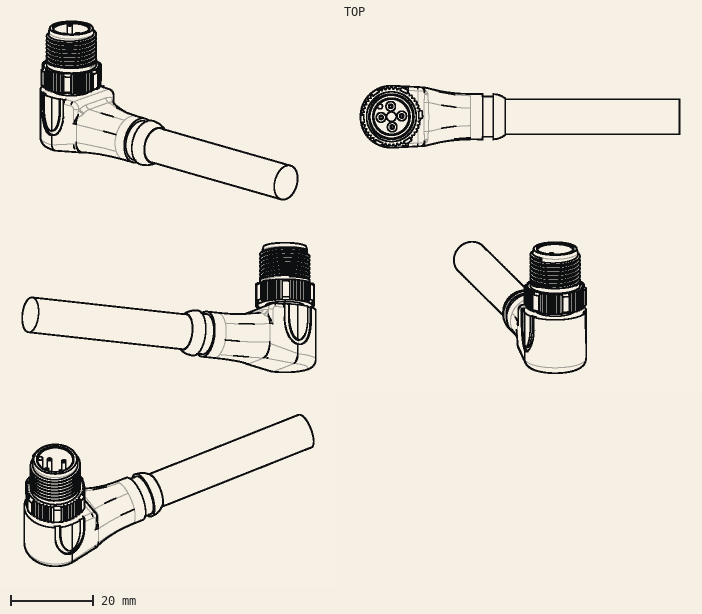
import cadquery as cq
import math


total_length = 77.01
total_height = 29.7

housing_radius = 7.5
housing_top = 14.05
housing_bottom_round = 2.0
flank_start_x = 0.4
flank_start_half_width = 7.49
shoulder_x = 7.9
shoulder_half_width = 7.1
shoulder_bottom = 0.9
shoulder_bottom_round = 3.0
shoulder_end_round = 1.6
shoulder_side_round = 0.9
side_round_start_x = 4.0
shoulder_blend = 1.3

panel_center_x = 0.1
panel_groove_outer = (3.85, 9.7)
panel_groove_inner = (2.6, 8.6)
panel_tip_share = 0.66
panel_groove_depth = 0.5

cable_axis_z = 6.05
cable_diameter = 8.5
barrel_radius = 5.5
sleeve_top = 12.1
sleeve_corner = 3.3
sleeve_waist_x = 12.5
sleeve_waist_roundness = 0.65
barrel_start_x = 19.0
barrel_end_x = 22.0
barrel_groove_radius = 4.88
collar_start_x = 24.5
collar_end_x = 27.5
collar_end_radius = 4.4

neck_radius = 4.6
plug_turn = 4.0
nut_bottom = 15.3
nut_top = 20.3
nut_radius = 7.05
nut_lug_radius = 7.5
nut_lug_width = 1.8
nut_lug_inset = 0.8
nut_lug_count = 6
nut_lug_chamfer_height = 0.55
nut_lug_chamfer_width = 0.85
nut_grooves_per_gap = 5
nut_groove_pitch = 8.0
nut_groove_depth = 0.45
nut_groove_width = 0.6

thread_radius = 6.0
thread_core_radius = 5.45
thread_pitch = 1.0
thread_bottom = 21.0
plain_collar_top = 21.5
thread_top = 28.35
thread_root_width = 0.8
thread_crest_width = 0.12
thread_overlap = 0.1
nose_bottom = 28.8
nose_tip_radius = 5.2

socket_radius = 4.25
socket_chamfer = 0.25
socket_floor = nut_top
pin_count = 4
pin_circle_radius = 2.5
pin_radius = 0.5
pin_top = 27.8
pin_tip_chamfer = 0.15
pin_seat_radius = 1.15
pin_seat_depth = 0.2
key_angle = 138.0
key_position_radius = 3.7
key_radius = 0.6
key_top = 29.2

edge_search = 0.05


def disc(radius, bottom, top):
    """Upright cylinder on the plug axis."""
    return cq.Workplane("XY").workplane(offset=bottom).circle(radius).extrude(top - bottom)


def polar(radius, angle):
    """Point at a radius and an angle in degrees."""
    turn = math.radians(angle)
    return radius * math.cos(turn), radius * math.sin(turn)


def shoulder_section(x, half_width, bottom, corner):
    """Cross section of the housing: square at the top, rounded below."""
    diagonal = corner * (1 - math.sqrt(0.5))
    return (
        cq.Workplane("YZ", origin=(x, 0, 0))
        .moveTo(-half_width, housing_top)
        .lineTo(-half_width, bottom + corner)
        .threePointArc(
            (-half_width + diagonal, bottom + diagonal), (-half_width + corner, bottom)
        )
        .lineTo(half_width - corner, bottom)
        .threePointArc(
            (half_width - diagonal, bottom + diagonal), (half_width, bottom + corner)
        )
        .lineTo(half_width, housing_top)
        .close()
        .val()
    )


def shoulder_space(start_x, bottom):
    """Block covering the cable side of the housing beyond a given X and above a given height."""
    return (
        cq.Workplane("XY", origin=(start_x, 0, bottom))
        .box(2 * housing_radius, 4 * housing_radius, housing_top, centered=(False, True, False))
    )


def make_shoulder():
    """Flat-sided part of the housing; its upper end is rounded where it stands above the sleeve."""
    sections = [
        shoulder_section(flank_start_x, flank_start_half_width, 0, housing_bottom_round),
        shoulder_section(shoulder_x, shoulder_half_width, shoulder_bottom, shoulder_bottom_round),
    ]
    shoulder = cq.Workplane(cq.Solid.makeLoft(sections, True))
    rounded_shoulder = shoulder.faces(">X").edges(">Z").fillet(shoulder_end_round)
    rounded_shoulder = rounded_shoulder.faces(">Z").edges(">Y or <Y").fillet(shoulder_side_round)
    plain_shoulder = shoulder.cut(shoulder_space(side_round_start_x, sleeve_top - sleeve_corner))
    return rounded_shoulder.union(plain_shoulder)


def make_housing():
    """Round housing with a flat-sided shoulder towards the cable."""
    round_part = disc(housing_radius, 0, housing_top).faces("<Z").edges().fillet(housing_bottom_round)
    return round_part.cut(shoulder_space(flank_start_x, 0)).union(make_shoulder())


def sleeve_quarter(half_width, half_height, corner):
    """Points of a rounded rectangle from its right side to its top side, counter-clockwise."""
    corner_y = half_width - corner
    corner_z = half_height - corner
    diagonal = corner * math.sqrt(0.5)
    return [
        (half_width, 0),
        (half_width, corner_z),
        (corner_y + diagonal, corner_z + diagonal),
        (corner_y, half_height),
        (0, half_height),
    ]


def barrel_quarter():
    """The matching points of the barrel circle, split into octants."""
    return [polar(barrel_radius, angle) for angle in (0, 22.5, 45, 67.5, 90)]


def sleeve_section(x, roundness):
    """Eight-edged section between the rounded rectangle (roundness 0) and the barrel circle (1)."""
    half_height = (sleeve_top - shoulder_bottom) / 2
    square_center = shoulder_bottom + half_height
    center_z = square_center + roundness * (cable_axis_z - square_center)
    square_points = sleeve_quarter(shoulder_half_width, half_height, sleeve_corner)
    quarter = [
        (y0 + roundness * (y1 - y0), z0 + roundness * (z1 - z0))
        for (y0, z0), (y1, z1) in zip(square_points, barrel_quarter())
    ]
    right_middle, right_end, corner_middle, top_end, top_middle = quarter

    def mirrored(point, y_sign, z_sign):
        return (y_sign * point[0], z_sign * point[1])

    section = cq.Workplane("YZ", origin=(x, 0, center_z)).moveTo(*mirrored(right_end, 1, -1))
    edges = [
        (right_middle, right_end, 1, 1),
        (corner_middle, top_end, 1, 1),
        (top_middle, top_end, -1, 1),
        (corner_middle, right_end, -1, 1),
        (right_middle, right_end, -1, -1),
        (corner_middle, top_end, -1, -1),
        (top_middle, top_end, 1, -1),
        (corner_middle, right_end, 1, -1),
    ]
    for middle, end, y_sign, z_sign in edges:
        is_flat_side = roundness == 0 and middle is not corner_middle
        if is_flat_side:
            section = section.lineTo(*mirrored(end, y_sign, z_sign))
        else:
            section = section.threePointArc(
                mirrored(middle, y_sign, z_sign), mirrored(end, y_sign, z_sign)
            )
    return section.close()


def make_sleeve():
    """Sleeve that narrows from the flat-sided shoulder to the round barrel."""
    root_x = shoulder_x - shoulder_end_round
    root = sleeve_section(root_x, 0).extrude(shoulder_end_round)
    sections = [
        sleeve_section(shoulder_x, 0).val(),
        sleeve_section(sleeve_waist_x, sleeve_waist_roundness).val(),
        sleeve_section(barrel_start_x, 1).val(),
    ]
    return root.union(cq.Workplane(cq.Solid.makeLoft(sections)))


def make_cable_outlet():
    """Barrel, groove, rounded collar and cable, turned about the cable axis."""
    cable_end_x = total_length - housing_radius
    cable_radius = cable_diameter / 2
    collar_length = collar_end_x - collar_start_x
    collar_drop = barrel_radius - collar_end_radius
    arc_radius = (collar_length**2 + collar_drop**2) / (2 * collar_drop)
    half_turn = math.asin(collar_length / arc_radius) / 2
    collar_middle_x = collar_start_x + arc_radius * math.sin(half_turn)
    collar_middle_radius = barrel_radius - arc_radius * (1 - math.cos(half_turn))
    profile = (
        cq.Workplane("XZ", origin=(0, 0, cable_axis_z))
        .moveTo(barrel_start_x, 0)
        .lineTo(barrel_start_x, barrel_radius)
        .lineTo(barrel_end_x, barrel_radius)
        .lineTo(barrel_end_x, barrel_groove_radius)
        .lineTo(collar_start_x, barrel_groove_radius)
        .lineTo(collar_start_x, barrel_radius)
        .threePointArc((collar_middle_x, collar_middle_radius), (collar_end_x, collar_end_radius))
        .lineTo(collar_end_x, cable_radius)
        .lineTo(cable_end_x, cable_radius)
        .lineTo(cable_end_x, 0)
        .close()
    )
    return profile.revolve(360, (0, 0, 0), (1, 0, 0))


def arch(half_width, height, side):
    """Arch-shaped block hanging from the housing top, reaching out to side +1 or -1."""
    tip_height = height * panel_tip_share
    straight_height = height - tip_height
    plane = cq.Workplane("XZ", origin=(panel_center_x, 0, housing_top - straight_height))
    reach = -side * 2 * housing_radius
    straight_part = (
        plane.center(0, straight_height / 2)
        .rect(2 * half_width, straight_height)
        .extrude(reach)
    )
    tip = plane.ellipse(half_width, tip_height).extrude(reach)
    return tip.union(straight_part)


def make_panel_groove(side):
    """Arch-shaped groove band on one flank, cut down to a round core and its flat flanks."""
    band = arch(*panel_groove_outer, side).cut(arch(*panel_groove_inner, side))
    core = disc(housing_radius - panel_groove_depth, 0, housing_top)
    core_depth = 2 * (housing_radius - panel_groove_depth)
    flat_core = cq.Workplane("XY").box(
        shoulder_x, core_depth, housing_top, centered=(False, True, False)
    )
    return band.cut(core).cut(flat_core)


def make_nut():
    """Coupling nut with six chamfered lugs and a knurled band in the gaps between them."""
    height = nut_top - nut_bottom
    lug_step = 360 / nut_lug_count
    nut = disc(nut_radius, nut_bottom, nut_top)
    knurl_cutter = (
        cq.Workplane("XY", origin=(nut_radius, 0, nut_bottom))
        .polyline([(-nut_groove_depth, 0), (0, nut_groove_width / 2), (0, -nut_groove_width / 2)])
        .close()
        .extrude(height)
    )
    lug_bar = (
        cq.Workplane("XY", origin=(nut_radius, 0, nut_bottom))
        .rect(2 * nut_lug_inset, nut_lug_width)
        .extrude(height)
    )
    lug_envelope = disc(nut_lug_radius, nut_bottom, nut_top)
    lug_envelope = lug_envelope.edges("%CIRCLE").chamfer(nut_lug_chamfer_height, nut_lug_chamfer_width)
    for lug in range(nut_lug_count):
        lug_angle = plug_turn + lug * lug_step
        turned_bar = lug_bar.rotate((0, 0, 0), (0, 0, 1), lug_angle)
        nut = nut.cut(turned_bar).union(turned_bar.intersect(lug_envelope))
        for groove in range(nut_grooves_per_gap):
            offset = groove - (nut_grooves_per_gap - 1) / 2
            angle = lug_angle + lug_step / 2 + offset * nut_groove_pitch
            nut = nut.cut(knurl_cutter.rotate((0, 0, 0), (0, 0, 1), angle))
    return nut


def make_thread():
    """Helical ridge of the M12 external thread, sunk slightly into its core."""
    height = thread_top - thread_bottom
    helix = cq.Wire.makeHelix(thread_pitch, height, thread_core_radius)
    root_radius = thread_core_radius - thread_overlap
    ridge = (
        cq.Workplane("XZ")
        .moveTo(root_radius, -thread_root_width / 2)
        .lineTo(root_radius, thread_root_width / 2)
        .lineTo(thread_radius, thread_crest_width / 2)
        .lineTo(thread_radius, -thread_crest_width / 2)
        .close()
        .sweep(cq.Workplane(helix), isFrenet=True)
    )
    return ridge.translate((0, 0, thread_bottom))


def make_plug():
    """Neck, nut, threaded shell and tapered nose."""
    neck = disc(neck_radius, housing_top, nut_bottom)
    plain_collar = disc(thread_radius, nut_top, plain_collar_top)
    core = disc(thread_core_radius, nut_top, total_height)
    taper_width = thread_core_radius - nose_tip_radius
    core = core.faces(">Z").edges().chamfer(total_height - nose_bottom, taper_width)
    return neck.union(make_nut()).union(core).union(plain_collar).union(make_thread())


def pin_positions():
    """Centres of the contact pins."""
    step = 360 / pin_count
    return [polar(pin_circle_radius, plug_turn + pin * step) for pin in range(pin_count)]


def make_socket():
    """Space inside the plug: chamfered bore with a shallow seat at the centre and around each pin."""
    mouth_bottom = total_height - socket_chamfer
    mouth = (
        cq.Workplane("XY", origin=(0, 0, mouth_bottom))
        .circle(socket_radius)
        .workplane(offset=socket_chamfer)
        .circle(socket_radius + socket_chamfer)
        .loft()
    )
    socket = disc(socket_radius, socket_floor, mouth_bottom).union(mouth)
    seat = disc(pin_seat_radius, socket_floor - pin_seat_depth, socket_floor)
    for x, y in [(0, 0)] + pin_positions():
        socket = socket.union(seat.translate((x, y, 0)))
    return socket


def make_contacts():
    """Contact pins and the coding key along the socket wall."""
    pin = disc(pin_radius, socket_floor - pin_seat_depth, pin_top)
    pin = pin.faces(">Z").chamfer(pin_tip_chamfer)
    key = disc(key_radius, socket_floor, key_top)
    contacts = key.translate((*polar(key_position_radius, key_angle), 0))
    for x, y in pin_positions():
        contacts = contacts.union(pin.translate((x, y, 0)))
    return contacts


def make_body():
    """Housing and sleeve, with a hollow blend in the corner between shoulder and sleeve top."""
    body = make_housing().union(make_sleeve()).clean()
    search_half_width = shoulder_half_width - shoulder_side_round
    search_bottom = sleeve_top - shoulder_side_round
    corner = cq.selectors.BoxSelector(
        (shoulder_x - edge_search, -search_half_width, search_bottom),
        (shoulder_x + edge_search, search_half_width, sleeve_top + edge_search),
    )
    return body.edges(corner).fillet(shoulder_blend)


body = make_body()
for flank in (1, -1):
    body = body.cut(make_panel_groove(flank))

plug = make_plug().cut(make_socket()).union(make_contacts())
result = body.union(make_cable_outlet()).union(plug)